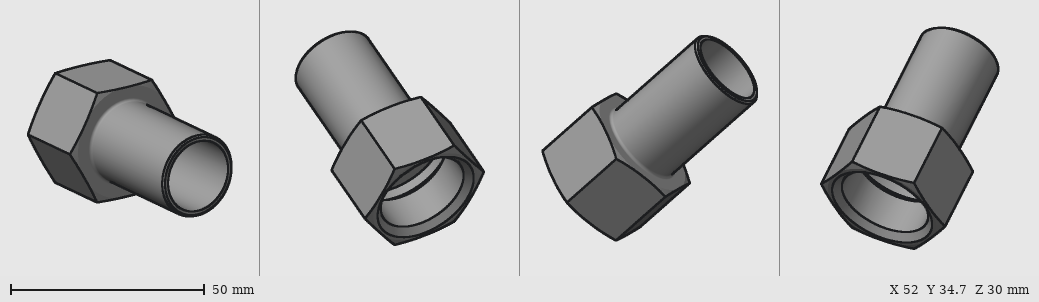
import cadquery as cq
import math

total_length = 52.0
hex_length = 20.0
across_corners = 34.65
tube_diameter = 22.0
tube_bore = 19.0

hex_face_diameter = 30.25
hex_chamfer_length = 0.7

neck_fillet = 0.8
tube_end_chamfer = 0.5

socket_mouth = 28.0
socket_bore = 24.15
countersink_depth = (socket_mouth - socket_bore) / 2

undercut_start = 12.15
undercut_diameter = socket_mouth
undercut_lead = (undercut_diameter - socket_bore) / 2

socket_depth = 17.2
seat_diameter = 20.8
seat_half_angle = 60
seat_depth = (seat_diameter - tube_bore) / 2 / math.tan(math.radians(seat_half_angle))


def revolve_about_axis(profile):
    """Revolve (x, radius) points around the X axis."""
    outline = cq.Workplane("XY").polyline(profile).close()
    return outline.revolve(360, (0, 0, 0), (1, 0, 0))


def make_hexagon():
    """Hexagon with corners on +Y and -Y and both end faces chamfered."""
    prism = cq.Workplane("YZ").polygon(6, across_corners).extrude(hex_length)
    face_radius = hex_face_diameter / 2
    corner_radius = across_corners / 2
    envelope = revolve_about_axis([
        (0, 0),
        (0, face_radius),
        (hex_chamfer_length, corner_radius),
        (hex_length - hex_chamfer_length, corner_radius),
        (hex_length, face_radius),
        (hex_length, 0),
    ])
    return prism.intersect(envelope)


def make_tube():
    """Solid tube body with a concave flare at the hexagon and a chamfered end."""
    radius = tube_diameter / 2
    flare_middle = neck_fillet * (1 - math.sqrt(0.5))
    outline = (
        cq.Workplane("XY")
        .moveTo(0, 0)
        .lineTo(0, radius)
        .lineTo(hex_length, radius)
        .lineTo(hex_length, radius + neck_fillet)
        .threePointArc(
            (hex_length + flare_middle, radius + flare_middle),
            (hex_length + neck_fillet, radius),
        )
        .lineTo(total_length - tube_end_chamfer, radius)
        .lineTo(total_length, radius - tube_end_chamfer)
        .lineTo(total_length, 0)
        .close()
    )
    return outline.revolve(360, (0, 0, 0), (1, 0, 0))


def make_cavity():
    """Countersunk and undercut socket, conical seat and through bore."""
    return revolve_about_axis([
        (0, 0),
        (0, socket_mouth / 2),
        (countersink_depth, socket_bore / 2),
        (undercut_start, socket_bore / 2),
        (undercut_start + undercut_lead, undercut_diameter / 2),
        (socket_depth, undercut_diameter / 2),
        (socket_depth, seat_diameter / 2),
        (socket_depth + seat_depth, tube_bore / 2),
        (total_length, tube_bore / 2),
        (total_length, 0),
    ])


result = make_hexagon().union(make_tube()).cut(make_cavity())